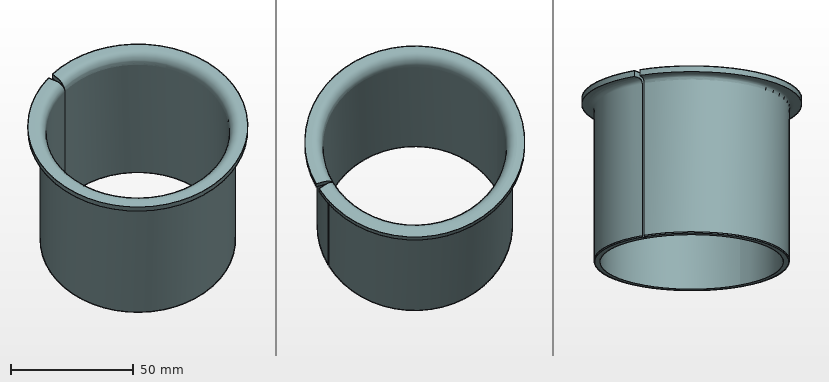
import cadquery as cq
import math

flange_diameter = 90.0
sleeve_diameter = 80.0
wall = 2.5
height = 70.0
neck_fillet = 2.0
end_chamfer_height = 0.5
end_chamfer_depth = 0.3

split_angle = 182.1
split_rim_width = 2.6
split_bore_width = 0.02

flange_radius = flange_diameter / 2
sleeve_radius = sleeve_diameter / 2
bore_radius = sleeve_radius - wall
mouth_round = neck_fillet + wall
bend_radius = bore_radius + mouth_round
bend_height = height - mouth_round
flange_underside = height - wall


def bend_point(radius):
    """Middle of a quarter arc about the centre of the flange bend."""
    reach = radius * math.sqrt(0.5)
    return (bend_radius - reach, bend_height + reach)


def make_bush():
    """Revolve the wall section about Z into an unsplit flanged bush."""
    return (
        cq.Workplane("XZ")
        .moveTo(bore_radius, 0)
        .lineTo(sleeve_radius - end_chamfer_depth, 0)
        .lineTo(sleeve_radius, end_chamfer_height)
        .lineTo(sleeve_radius, bend_height)
        .threePointArc(bend_point(neck_fillet), (bend_radius, flange_underside))
        .lineTo(flange_radius, flange_underside)
        .lineTo(flange_radius, height)
        .lineTo(bend_radius, height)
        .threePointArc(bend_point(mouth_round), (bore_radius, bend_height))
        .close()
        .revolve(360, (0, 0, 0), (0, 1, 0))
    )


def make_split():
    """Full-height wedge that opens the ring on one side."""
    overrun = wall
    taper = (split_rim_width - split_bore_width) / (flange_radius - bore_radius)
    apex_radius = bore_radius - split_bore_width / taper
    outer_radius = flange_radius + overrun
    outer_half_width = taper * (outer_radius - apex_radius) / 2
    return (
        cq.Workplane("XY")
        .moveTo(apex_radius, 0)
        .lineTo(outer_radius, -outer_half_width)
        .lineTo(outer_radius, outer_half_width)
        .close()
        .extrude(height)
        .rotate((0, 0, 0), (0, 0, 1), split_angle)
    )


result = make_bush().cut(make_split())